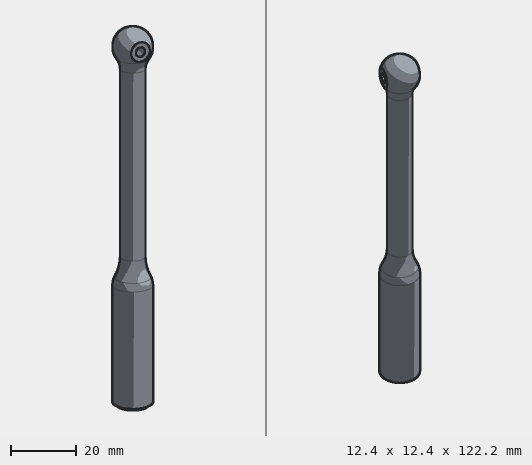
import cadquery as cq
import math

total_height = 122.2
handle_radius = 6.2
shaft_radius = 3.9
ball_radius = 6.2
ball_flat_distance = 5.4
cross_hole_diameter = 3.0
neck_fillet_radius = 6.1
spigot_radius = 4.8
spigot_height = 1.1
shoulder_bottom = 38.9
shoulder_middle = 41.5
shoulder_top = 48.0

ball_center = total_height - ball_radius
center_distance = ball_radius + neck_fillet_radius
fillet_center_radius = shaft_radius + neck_fillet_radius
neck_drop = math.sqrt(center_distance**2 - fillet_center_radius**2)
neck_bottom = ball_center - neck_drop
neck_top_radius = fillet_center_radius * ball_radius / center_distance
neck_top = ball_center - neck_drop * ball_radius / center_distance

half_turn = math.atan((handle_radius - shaft_radius) / (shoulder_top - shoulder_bottom))
shoulder_middle_radius = handle_radius - (shoulder_middle - shoulder_bottom) * math.tan(half_turn)


def make_turned_body():
    """Revolve the spigot, handle, shoulder, shaft, neck and ball about Z."""
    profile = (
        cq.Workplane("XZ")
        .lineTo(spigot_radius, 0)
        .lineTo(spigot_radius, spigot_height)
        .lineTo(handle_radius, spigot_height)
        .lineTo(handle_radius, shoulder_bottom)
        .tangentArcPoint((shoulder_middle_radius, shoulder_middle), relative=False)
        .tangentArcPoint((shaft_radius, shoulder_top), relative=False)
        .lineTo(shaft_radius, neck_bottom)
        .tangentArcPoint((neck_top_radius, neck_top), relative=False)
        .threePointArc((ball_radius, ball_center), (0, total_height))
        .close()
    )
    return profile.revolve(360, (0, 0), (0, 1))


def make_flat_cutter(side):
    """Block that trims the ball to a flat on the given X side."""
    return cq.Workplane("XY").box(
        ball_radius, 2 * ball_radius, 2 * ball_radius
    ).translate((side * (ball_flat_distance + ball_radius / 2), 0, ball_center))


def make_cross_hole():
    """Pin that bores through the ball from flat to flat."""
    return (
        cq.Workplane("YZ")
        .center(0, ball_center)
        .circle(cross_hole_diameter / 2)
        .extrude(ball_radius, both=True)
    )


result = make_turned_body()
for side in (-1, 1):
    result = result.cut(make_flat_cutter(side))
result = result.cut(make_cross_hole())